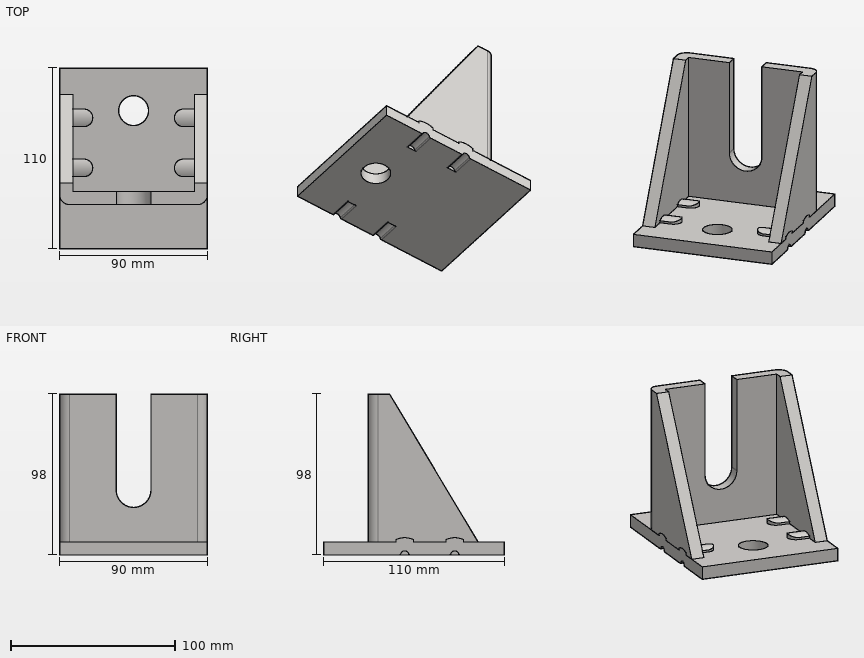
import cadquery as cq
import math

PLATE_LENGTH = 110.0
PLATE_WIDTH = 90.0
THICKNESS = 8.0
TOTAL_HEIGHT = 98.0
HOLE_DIAMETER = 18.0
HOLE_Y = 29.2

BEAD_YS = (-5.7, 24.8)
BEAD_WIDTH = 10.7
BEAD_REACH = 20.1
BEAD_HEIGHT = 2.5
BEAD_SIDE_HEIGHT = 1.3
GROOVE_RADIUS = 2.5
GROOVE_LIP_RADIUS = 1.0

BRACKET_FRONT_Y = -28.0
BRACKET_DEPTH = 67.0
BRACKET_TOP_DEPTH = 13.2
CORNER_RADIUS = 6.0
SLOT_WIDTH = 21.0
SLOT_BOTTOM_Z = 29.0

HALF_WIDTH = PLATE_WIDTH / 2
BRACKET_HEIGHT = TOTAL_HEIGHT - THICKNESS
BEAD_STRAIGHT = BEAD_REACH - BEAD_WIDTH / 2


def make_bead(y):
    """Domed bead with a round end, on the -X side of the plate."""
    half = BEAD_WIDTH / 2
    side_plane = cq.Workplane("YZ", origin=(-HALF_WIDTH, y, THICKNESS))
    dome = (
        side_plane.moveTo(-half, 0)
        .lineTo(-half, BEAD_SIDE_HEIGHT)
        .threePointArc((0, BEAD_HEIGHT), (half, BEAD_SIDE_HEIGHT))
        .lineTo(half, 0)
        .close()
        .extrude(BEAD_REACH)
    )
    outline = (
        cq.Workplane("XY", origin=(-HALF_WIDTH, y, THICKNESS))
        .moveTo(0, -half)
        .lineTo(BEAD_STRAIGHT, -half)
        .threePointArc((BEAD_REACH, 0), (BEAD_STRAIGHT, half))
        .lineTo(0, half)
        .close()
        .extrude(BEAD_HEIGHT)
    )
    return dome.intersect(outline)


def make_groove(y):
    """Hollow under a bead: an arched groove with a flared mouth and a flat end."""
    lip = GROOVE_LIP_RADIUS
    crown = GROOVE_RADIUS
    arch_centre_z = BEAD_HEIGHT - crown
    rise = lip - arch_centre_z
    lip_centre = math.sqrt((crown + lip) ** 2 - rise ** 2)
    join_share = crown / (crown + lip)
    join = (lip_centre * join_share, arch_centre_z + rise * join_share)
    join_angle = math.atan2(join[1] - lip, join[0] - lip_centre) % (2 * math.pi)
    lip_angle = (join_angle + 1.5 * math.pi) / 2
    lip_middle = (lip_centre + lip * math.cos(lip_angle), lip + lip * math.sin(lip_angle))

    arch_angle = (math.pi / 2 + math.atan2(rise, lip_centre)) / 2
    arch_middle = (crown * math.cos(arch_angle), arch_centre_z + crown * math.sin(arch_angle))

    half_groove = (
        cq.Workplane("YZ", origin=(-HALF_WIDTH, y, 0))
        .lineTo(0, BEAD_HEIGHT)
        .threePointArc(arch_middle, join)
        .threePointArc(lip_middle, (lip_centre, 0))
        .close()
        .extrude(BEAD_STRAIGHT)
    )
    return half_groove.union(half_groove.mirror("XZ", (0, y, 0)))


def make_base_plate():
    plate = cq.Workplane("XY").box(PLATE_WIDTH, PLATE_LENGTH, THICKNESS, centered=(True, True, False))
    hole = cq.Workplane("XY").center(0, HOLE_Y).circle(HOLE_DIAMETER / 2).extrude(THICKNESS)
    plate = plate.cut(hole)
    for y in BEAD_YS:
        bead = make_bead(y)
        groove = make_groove(y)
        plate = plate.union(bead).union(bead.mirror("YZ"))
        plate = plate.cut(groove).cut(groove.mirror("YZ"))
    return plate


def make_bracket(base_plate):
    """U-shaped bracket standing on the plate, notched to fit over its beads."""
    back_y = BRACKET_FRONT_Y + BRACKET_DEPTH
    body = (
        cq.Workplane("YZ", origin=(-HALF_WIDTH, 0, 0))
        .moveTo(BRACKET_FRONT_Y, THICKNESS)
        .lineTo(back_y, THICKNESS)
        .lineTo(BRACKET_FRONT_Y + BRACKET_TOP_DEPTH, TOTAL_HEIGHT)
        .lineTo(BRACKET_FRONT_Y, TOTAL_HEIGHT)
        .close()
        .extrude(PLATE_WIDTH)
        .edges("|Z and <Y")
        .fillet(CORNER_RADIUS)
    )
    inside = cq.Workplane("XY", origin=(0, BRACKET_FRONT_Y + THICKNESS, THICKNESS)).box(
        PLATE_WIDTH - 2 * THICKNESS, BRACKET_DEPTH, BRACKET_HEIGHT, centered=(True, False, False)
    )
    slot_radius = SLOT_WIDTH / 2
    slot = (
        cq.Workplane("XZ", origin=(0, BRACKET_FRONT_Y, 0))
        .moveTo(-slot_radius, TOTAL_HEIGHT)
        .lineTo(-slot_radius, SLOT_BOTTOM_Z + slot_radius)
        .threePointArc((0, SLOT_BOTTOM_Z), (slot_radius, SLOT_BOTTOM_Z + slot_radius))
        .lineTo(slot_radius, TOTAL_HEIGHT)
        .close()
        .extrude(-THICKNESS)
    )
    return body.cut(inside).cut(slot).cut(base_plate)


base_plate = make_base_plate()
bracket = make_bracket(base_plate)
result = cq.Compound.makeCompound([base_plate.val(), bracket.val()])